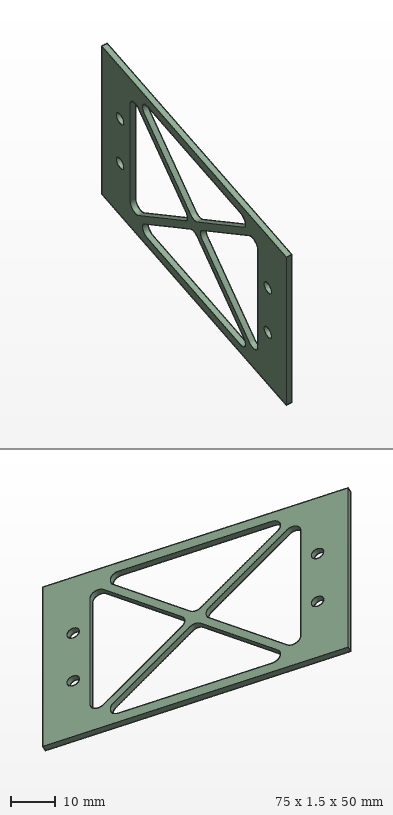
import cadquery as cq
import math

length = 75.0
height = 50.0
thickness = 1.5

window_length = 51.75
window_height = 44.5
strut_width = 2.0
corner_radius = 2.0

hole_diameter = 3.0
hole_spacing_x = 60.0
hole_spacing_z = 15.0

half_length = window_length / 2
half_height = window_height / 2
strut_angle = math.atan2(window_height, window_length)
strut_slope = math.tan(strut_angle)

side_apex = strut_width / 2 / math.sin(strut_angle)
end_apex = strut_width / 2 / math.cos(strut_angle)


def triangle_cutter(corners):
    """Through-cutting triangle with all three corners rounded."""
    return (
        cq.Workplane("XZ")
        .polyline(corners)
        .close()
        .extrude(thickness / 2, both=True)
        .edges("|Y")
        .fillet(corner_radius)
    )


def side_opening(side):
    """Triangle on the left (-1) or right (+1) of the crossing."""
    half_base = (half_length - side_apex) * strut_slope
    outer_x = side * half_length
    return triangle_cutter([(side * side_apex, 0), (outer_x, half_base), (outer_x, -half_base)])


def end_opening(side):
    """Triangle below (-1) or above (+1) the crossing."""
    half_base = (half_height - end_apex) / strut_slope
    outer_z = side * half_height
    return triangle_cutter([(0, side * end_apex), (half_base, outer_z), (-half_base, outer_z)])


result = cq.Workplane("XY").box(length, thickness, height)

for side in (-1, 1):
    result = result.cut(side_opening(side)).cut(end_opening(side))

holes = (
    cq.Workplane("XZ")
    .rarray(hole_spacing_x, hole_spacing_z, 2, 2)
    .circle(hole_diameter / 2)
    .extrude(thickness / 2, both=True)
)
result = result.cut(holes)